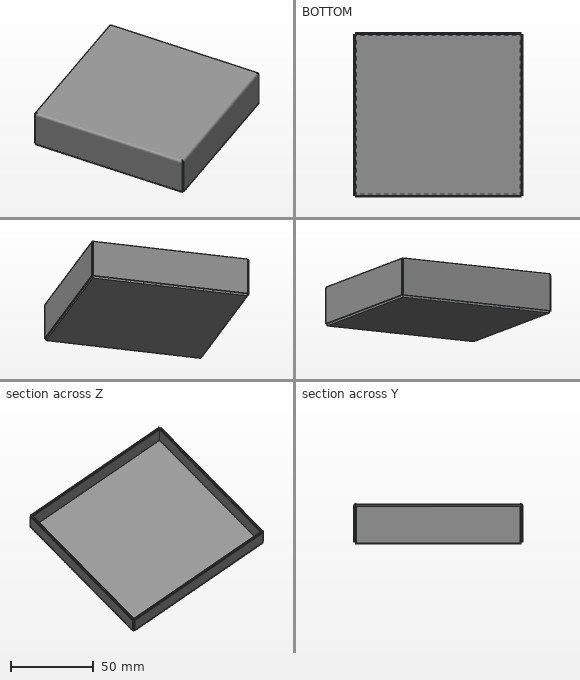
import cadquery as cq

length = 102.0
width = 99.0
height = 24.3

sheet = 0.8

cover_bottom = 1.3
bend_radius = 2 * sheet
inner_bend_radius = bend_radius - sheet

gap = 0.2
tray_length = length - 2 * (sheet + gap)
tray_width = width - 2 * (sheet + gap)
tray_height = height - bend_radius


def bent_flange(run):
    """Flange and its top bend, centred along Y, with the outer face at X = 0."""
    return (
        cq.Workplane("XZ")
        .moveTo(0, cover_bottom)
        .lineTo(0, height - bend_radius)
        .radiusArc((-bend_radius, height), -bend_radius)
        .lineTo(-bend_radius, height - sheet)
        .radiusArc((-sheet, height - bend_radius), inner_bend_radius)
        .lineTo(-sheet, cover_bottom)
        .close()
        .extrude(run / 2, both=True)
    )


def make_cover():
    """Flat top with a flange folded down along each of its four sides and open corners."""
    cover = (
        cq.Workplane("XY")
        .workplane(offset=height - sheet)
        .rect(length - 2 * bend_radius, width - 2 * bend_radius)
        .extrude(sheet)
    )
    x_flange = bent_flange(tray_width).translate((length / 2, 0, 0))
    y_flange = bent_flange(tray_length).translate((width / 2, 0, 0))
    origin = (0, 0, 0)
    z_axis = (0, 0, 1)
    for turn in (0, 180):
        cover = cover.union(x_flange.rotate(origin, z_axis, turn))
        cover = cover.union(y_flange.rotate(origin, z_axis, turn + 90))
    return cover


def make_tray():
    """Open-topped tray with thin walls and a thin floor."""
    shell = cq.Workplane("XY").rect(tray_length, tray_width).extrude(tray_height)
    hollow = (
        cq.Workplane("XY")
        .workplane(offset=sheet)
        .rect(tray_length - 2 * sheet, tray_width - 2 * sheet)
        .extrude(tray_height - sheet)
    )
    return shell.cut(hollow)


cover = make_cover()
tray = make_tray()

result = cq.Compound.makeCompound([cover.val(), tray.val()])